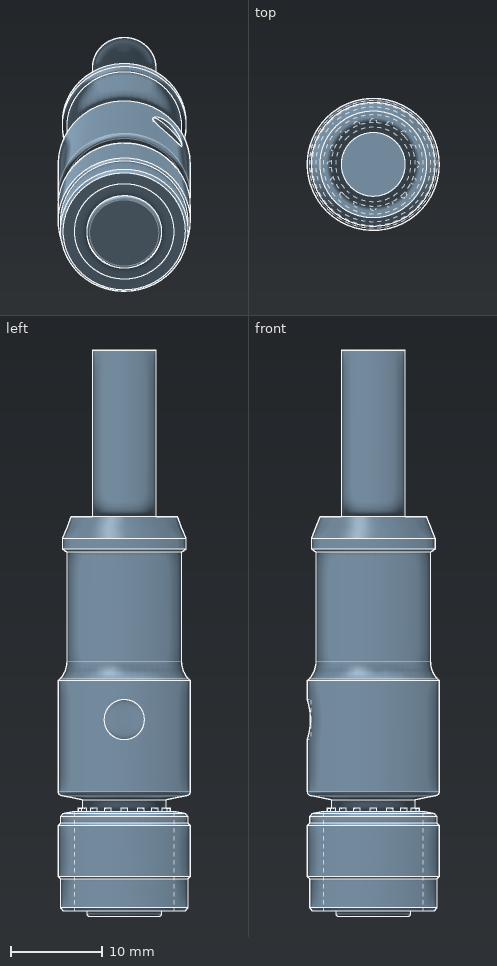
import cadquery as cq
import math


cable_radius = 7.0 / 2
total_height = 62.1

collar_radius = 13.6 / 2
collar_top_radius = 11.7 / 2
collar_top = 43.85
collar_cone_bottom = 41.45
collar_chamfer_top = 40.3
collar_bottom = 39.95

slim_radius = 12.6 / 2
outer_radius = 14.5 / 2
flare_top = 27.95
flare_bottom = 26.1
flare_radius = 7.0
shoulder_drop = 0.2
grip_fillet_top = 13.7
grip_fillet = 0.45
grip_cone_bottom = 12.8

neck_radius = 9.2 / 2
stem_radius = 10.92 / 2
stem_top = 11.55
rib_count = 16
rib_radius = 0.7 / 2
rib_circle_radius = 4.7
rib_top = 11.9

tip_radius = 8.2 / 2
tip_fillet = 0.3

recess_radius = 4.4 / 2
recess_height = 21.6
recess_depth = 0.4

nut_radius = 14.0 / 2
nut_bottom = 0.6
nut_bottom_radius = 6.7
nut_bottom_chamfer = 0.4
band_bottom = 4.15
band_top = 10.25
band_chamfer = outer_radius - nut_radius
nut_rim_chamfer_bottom = 10.95
nut_rim_radius = 6.72
nut_rim_height = 11.3


def make_turned_body():
    """Cable, grip, neck, stem and tip as one revolved outline."""
    flare_width = flare_radius - slim_radius
    flare_height = flare_top - flare_bottom
    flare_arc_radius = (flare_height**2 + flare_width**2) / (2 * flare_width)
    flare_middle = flare_top - flare_height / 2
    flare_middle_radius = (
        slim_radius + flare_arc_radius - math.sqrt(flare_arc_radius**2 - (flare_height / 2) ** 2)
    )
    fillet_middle = 1 - math.sqrt(0.5)

    outline = (
        cq.Workplane("XZ")
        .moveTo(0, 0)
        .lineTo(tip_radius - tip_fillet, 0)
        .threePointArc(
            (tip_radius - tip_fillet * fillet_middle, tip_fillet * fillet_middle),
            (tip_radius, tip_fillet),
        )
        .lineTo(tip_radius, nut_bottom)
        .lineTo(stem_radius, nut_bottom)
        .lineTo(stem_radius, stem_top)
        .lineTo(neck_radius, stem_top)
        .lineTo(neck_radius, grip_cone_bottom)
        .lineTo(outer_radius - grip_fillet, grip_fillet_top - grip_fillet)
        .threePointArc(
            (
                outer_radius - grip_fillet * fillet_middle,
                grip_fillet_top - grip_fillet * (1 - fillet_middle),
            ),
            (outer_radius, grip_fillet_top),
        )
        .lineTo(outer_radius, flare_bottom - shoulder_drop)
        .lineTo(flare_radius, flare_bottom)
        .threePointArc((flare_middle_radius, flare_middle), (slim_radius, flare_top))
        .lineTo(slim_radius, collar_bottom)
        .lineTo(collar_radius, collar_chamfer_top)
        .lineTo(collar_radius, collar_cone_bottom)
        .lineTo(collar_top_radius, collar_top)
        .lineTo(cable_radius, collar_top)
        .lineTo(cable_radius, total_height)
        .lineTo(0, total_height)
        .close()
    )
    return outline.revolve(360, (0, 0, 0), (0, 1, 0))


def make_ribs():
    """Upright round ribs, partly sunk in the neck and standing on the stem."""
    return (
        cq.Workplane("XY", origin=(0, 0, stem_top))
        .polarArray(rib_circle_radius, 0, 360, rib_count)
        .circle(rib_radius)
        .extrude(rib_top - stem_top)
    )


def make_recess():
    """Cutter for the round recess; it starts at the -X side and ends at the flat floor."""
    return (
        cq.Workplane("YZ", origin=(-outer_radius, 0, recess_height))
        .circle(recess_radius)
        .extrude(recess_depth)
    )


def make_connector_body():
    return make_turned_body().union(make_ribs()).cut(make_recess())


def make_nut():
    """Coupling nut: a sleeve around the stem with a wider grip band."""
    outline = (
        cq.Workplane("XZ")
        .moveTo(stem_radius, nut_bottom)
        .lineTo(nut_bottom_radius, nut_bottom)
        .lineTo(nut_radius, nut_bottom + nut_bottom_chamfer)
        .lineTo(nut_radius, band_bottom)
        .lineTo(outer_radius, band_bottom + band_chamfer)
        .lineTo(outer_radius, band_top - band_chamfer)
        .lineTo(nut_radius, band_top)
        .lineTo(nut_radius, nut_rim_chamfer_bottom)
        .lineTo(nut_rim_radius, nut_rim_height)
        .lineTo(stem_radius, stem_top)
        .close()
    )
    return outline.revolve(360, (0, 0, 0), (0, 1, 0))


connector_body = make_connector_body()
nut = make_nut()

result = cq.Compound.makeCompound([connector_body.val(), nut.val()])